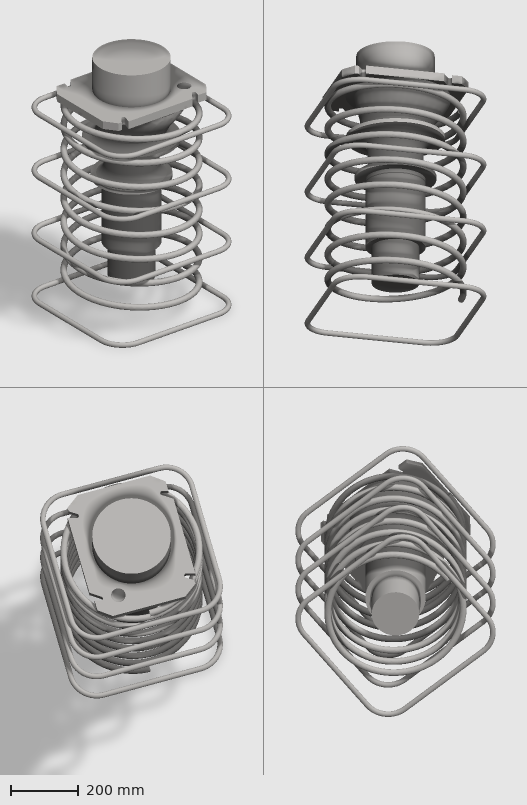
import cadquery as cq
import math

TOTAL_HEIGHT = 819.0

RING_COUNT = 4
RING_OUTER_SIDE = 472.0
RING_ROD_RADIUS = 8.0
RING_BEND_RADIUS = 79.0
TOP_RING_Z = 638.0
BOTTOM_RING_Z = RING_ROD_RADIUS

COIL_RADIUS = 201.0
WIRE_RADIUS = 10.0
COIL_PITCH = 80.0
COIL_START_Z = 61.5
EVEN_TURNS = 7.25
CLOSING_TURNS = 0.75
POINTS_PER_TURN = 12

CAP_RADIUS = 116.0
CAP_HEIGHT = 106.5
PLATE_THICKNESS = 25.0
PLATE_HALF_X = 159.0
PLATE_HALF_Y = 193.0
PLATE_SHOULDER_X = 151.0
PLATE_CORNER_X = 111.0
PLATE_CORNER_Y = 164.0
STEP_Y_FAR = 143.0
STEP_Y_NEAR = 123.0
PLATE_TOP_Z = TOTAL_HEIGHT - CAP_HEIGHT
PLATE_BOTTOM_Z = PLATE_TOP_Z - PLATE_THICKNESS

SLOT_CENTER = 132.0
SLOT_END_RADIUS = 6.5
SLOT_TILT = -25.0
SLOT_FLARE = 9.0
SLOT_LENGTH = 49.0

LEAN_ANGLE = 60.0
FUNNEL_BASE_Z = 585.0
FUNNEL_RIM_Z = 682.0
FUNNEL_RIM_RADIUS = 144.0
FUNNEL_RIM_SHIFT = 21.0
FUNNEL_SECTIONS = 5
SKIRT_RADIUS = 156.0
SKIRT_SHIFT = 8.0

HOLE_RADIUS = 21.0
HOLE_SHIFT = 157.0
HOLE_END_SHIFT = 65.5

THROAT_RADIUS = 106.5
FLANGE_RADIUS = 147.0
FLANGE_TOP_Z = 561.0
FLANGE_BOTTOM_Z = 549.5
NECK_RADIUS = 83.5
NECK_TOP_FILLET = 41.0
NECK_BOTTOM_Z = 466.0
SHOULDER_RADIUS = 121.0
SHOULDER_FLARE_RADIUS = 105.0
SHOULDER_TOP_Z = 436.0
SHOULDER_BOTTOM_Z = 423.5
BARREL_RADIUS = 89.0
BARREL_TOP_Z = 409.5
GROOVE_RADIUS = 86.0
GROOVE_HEIGHT = 3.0
BARREL_BOTTOM_Z = 206.0
TAIL_RADIUS = 70.5
TAIL_BOTTOM_Z = 92.0


def lean_point(shift):
    """Point at a distance from the post axis, in the leaning direction."""
    angle = math.radians(LEAN_ANGLE)
    return shift * math.cos(angle), shift * math.sin(angle)


def circle_wire(z, radius, shift):
    """Horizontal circle, moved off the post axis in the leaning direction."""
    x, y = lean_point(shift)
    return cq.Wire.makeCircle(radius, cq.Vector(x, y, z), cq.Vector(0, 0, 1))


def make_ring(z):
    half = RING_OUTER_SIDE / 2 - RING_ROD_RADIUS
    straight = half - RING_BEND_RADIUS
    bend_mid = straight + RING_BEND_RADIUS * math.sqrt(0.5)
    path = (
        cq.Workplane("XY", origin=(0, 0, z))
        .moveTo(half, -straight)
        .lineTo(half, straight)
        .threePointArc((bend_mid, bend_mid), (straight, half))
        .lineTo(-straight, half)
        .threePointArc((-bend_mid, bend_mid), (-half, straight))
        .lineTo(-half, -straight)
        .threePointArc((-bend_mid, -bend_mid), (-straight, -half))
        .lineTo(straight, -half)
        .threePointArc((bend_mid, -bend_mid), (half, -straight))
        .close()
    )
    start = cq.Workplane("XZ", origin=(half, -straight, z))
    return start.circle(RING_ROD_RADIUS).sweep(path)


def coil_height(turn):
    """Wire height: constant pitch, then easing out to level at the last turn."""
    even = min(turn, EVEN_TURNS)
    eased = max(turn - EVEN_TURNS, 0) / CLOSING_TURNS
    closing_rise = COIL_PITCH * CLOSING_TURNS / 3
    return COIL_START_Z + COIL_PITCH * even + closing_rise * (1 - (1 - eased) ** 3)


def coil_point(turn):
    """The coil starts at +Y and turns toward +X as it rises."""
    angle = 2 * math.pi * turn
    return COIL_RADIUS * math.sin(angle), COIL_RADIUS * math.cos(angle), coil_height(turn)


def make_spring():
    steps = round((EVEN_TURNS + CLOSING_TURNS) * POINTS_PER_TURN)
    path = cq.Workplane("XY").spline([coil_point(i / POINTS_PER_TURN) for i in range(steps + 1)])
    start = cq.Workplane("YZ", origin=coil_point(0))
    return start.circle(WIRE_RADIUS).sweep(path, isFrenet=True)


def make_cap():
    return cq.Workplane("XY", origin=(0, 0, PLATE_TOP_Z)).circle(CAP_RADIUS).extrude(CAP_HEIGHT)


def make_slot(x, y):
    """Cutter for one slot: round inner end, walls flaring toward the plate edge."""
    mouth = SLOT_END_RADIUS + SLOT_LENGTH * math.tan(math.radians(SLOT_FLARE))
    outward = SLOT_TILT if x > 0 else SLOT_TILT + 180
    return (
        cq.Workplane("XY")
        .moveTo(0, -SLOT_END_RADIUS)
        .lineTo(SLOT_LENGTH, -mouth)
        .lineTo(SLOT_LENGTH, mouth)
        .lineTo(0, SLOT_END_RADIUS)
        .threePointArc((-SLOT_END_RADIUS, 0), (0, -SLOT_END_RADIUS))
        .close()
        .extrude(PLATE_THICKNESS)
        .rotate((0, 0, 0), (0, 0, 1), outward)
        .translate((x, y, PLATE_BOTTOM_Z))
    )


def make_plate():
    upper_half = [
        (PLATE_HALF_X, STEP_Y_NEAR),
        (PLATE_SHOULDER_X, STEP_Y_NEAR),
        (PLATE_SHOULDER_X, PLATE_CORNER_Y),
        (PLATE_CORNER_X, PLATE_HALF_Y),
        (-PLATE_CORNER_X, PLATE_HALF_Y),
        (-PLATE_SHOULDER_X, PLATE_CORNER_Y),
        (-PLATE_SHOULDER_X, STEP_Y_FAR),
        (-PLATE_HALF_X, STEP_Y_FAR),
    ]
    lower_half = [(-x, -y) for x, y in upper_half]
    plate = (
        cq.Workplane("XY", origin=(0, 0, PLATE_BOTTOM_Z))
        .polyline(upper_half + lower_half)
        .close()
        .extrude(PLATE_THICKNESS)
    )
    for x in (-SLOT_CENTER, SLOT_CENTER):
        for y in (-SLOT_CENTER, SLOT_CENTER):
            plate = plate.cut(make_slot(x, y))
    return plate


def funnel_section(t):
    """Funnel circle at a fraction t of its height; the radius swells in an S curve."""
    z = FUNNEL_BASE_Z + t * (FUNNEL_RIM_Z - FUNNEL_BASE_Z)
    swell = t * t * (3 - 2 * t)
    radius = THROAT_RADIUS + swell * (FUNNEL_RIM_RADIUS - THROAT_RADIUS)
    shift = FUNNEL_RIM_SHIFT * math.sin(t * math.pi / 2)
    return circle_wire(z, radius, shift)


def make_funnel():
    sections = [funnel_section(i / (FUNNEL_SECTIONS - 1)) for i in range(FUNNEL_SECTIONS)]
    return cq.Workplane(cq.Solid.makeLoft(sections))


def make_skirt():
    """Short flare joining the funnel rim to the plate."""
    rim = funnel_section(1)
    edge = circle_wire(PLATE_BOTTOM_Z, SKIRT_RADIUS, SKIRT_SHIFT)
    return cq.Workplane(cq.Solid.makeLoft([rim, edge], True))


def make_cable_hole():
    """Cutter for the blind hole that slopes from the plate top into the funnel."""
    mouth = circle_wire(PLATE_TOP_Z, HOLE_RADIUS, HOLE_SHIFT)
    end = circle_wire(FUNNEL_BASE_Z, HOLE_RADIUS, HOLE_END_SHIFT)
    return cq.Workplane(cq.Solid.makeLoft([mouth, end], True))


def make_stem():
    """Turned profile, from the throat down to the tail, in radius and Z."""
    diagonal = 1 - math.sqrt(0.5)
    throat_fillet = FUNNEL_BASE_Z - FLANGE_TOP_Z
    neck_top_z = FLANGE_BOTTOM_Z - NECK_TOP_FILLET
    groove_top_z = BARREL_TOP_Z + GROOVE_HEIGHT
    profile = (
        cq.Workplane("XZ")
        .moveTo(0, FUNNEL_BASE_Z)
        .lineTo(THROAT_RADIUS, FUNNEL_BASE_Z)
        .threePointArc(
            (THROAT_RADIUS + diagonal * throat_fillet, FLANGE_TOP_Z + diagonal * throat_fillet),
            (THROAT_RADIUS + throat_fillet, FLANGE_TOP_Z),
        )
        .lineTo(FLANGE_RADIUS, FLANGE_TOP_Z)
        .lineTo(FLANGE_RADIUS, FLANGE_BOTTOM_Z)
        .lineTo(NECK_RADIUS + NECK_TOP_FILLET, FLANGE_BOTTOM_Z)
        .threePointArc(
            (NECK_RADIUS + diagonal * NECK_TOP_FILLET, FLANGE_BOTTOM_Z - diagonal * NECK_TOP_FILLET),
            (NECK_RADIUS, neck_top_z),
        )
        .lineTo(NECK_RADIUS, NECK_BOTTOM_Z)
        .tangentArcPoint((SHOULDER_FLARE_RADIUS, SHOULDER_TOP_Z), relative=False)
        .lineTo(SHOULDER_RADIUS, SHOULDER_TOP_Z)
        .lineTo(SHOULDER_RADIUS, SHOULDER_BOTTOM_Z)
        .lineTo(BARREL_RADIUS, SHOULDER_BOTTOM_Z)
        .lineTo(BARREL_RADIUS, groove_top_z)
        .lineTo(GROOVE_RADIUS, BARREL_TOP_Z)
        .lineTo(BARREL_RADIUS, BARREL_TOP_Z)
        .lineTo(BARREL_RADIUS, BARREL_BOTTOM_Z)
        .lineTo(TAIL_RADIUS, BARREL_BOTTOM_Z)
        .lineTo(TAIL_RADIUS, TAIL_BOTTOM_Z)
        .lineTo(0, TAIL_BOTTOM_Z)
        .close()
    )
    return profile.revolve(360, (0, 0, 0), (0, 1, 0))


def make_post():
    post = make_stem()
    for section in (make_funnel(), make_skirt(), make_plate(), make_cap()):
        post = post.union(section)
    return post.cut(make_cable_hole())


ring_pitch = (TOP_RING_Z - BOTTOM_RING_Z) / (RING_COUNT - 1)
rings = [make_ring(BOTTOM_RING_Z + i * ring_pitch) for i in range(RING_COUNT)]
spring = make_spring()
post = make_post()

result = cq.Compound.makeCompound([post.val(), spring.val(), *[ring.val() for ring in rings]])